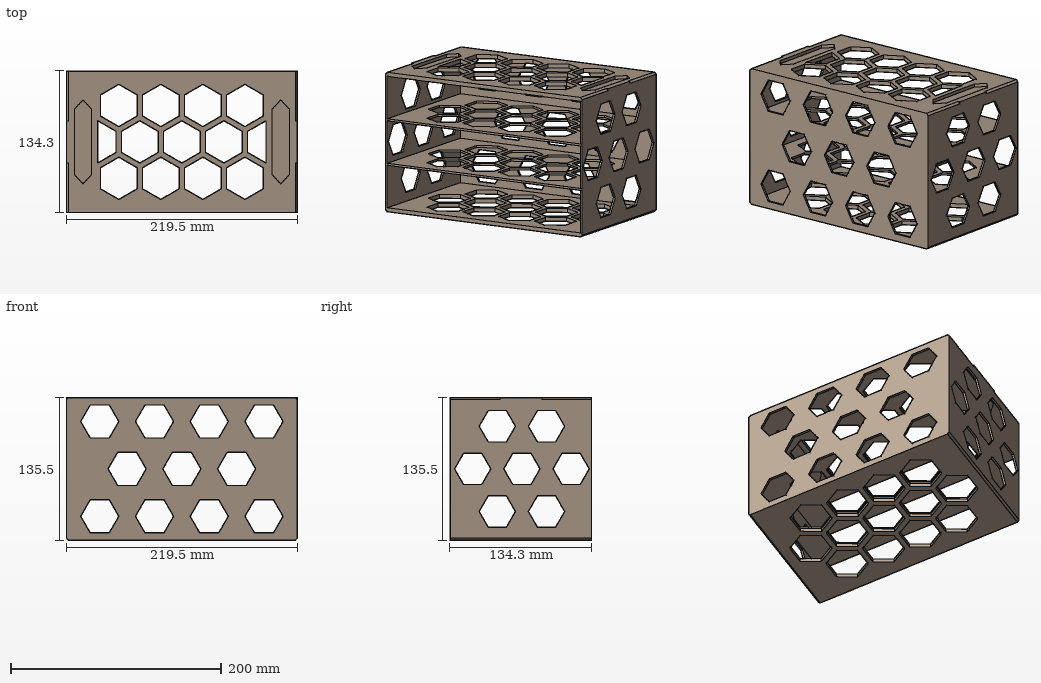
import cadquery as cq
import math

length = 219.5
width = 134.3
height = 135.5

front_wall = 2.0
end_wall = 2.0
lid_thickness = 4.0
floor_thickness = 4.0

storeys = 3
shelf_thickness = 2.0

bottom_chamfer = 2.0
top_chamfer = 2.0
tab_width = 40.0

front_hex_radius = 18.0
front_hex_pitch = 52.0
end_hex_radius = 17.1
end_hex_pitch = 46.7
end_hex_shift = front_wall / 2
comb_hex_radius = 20.0
comb_hex_pitch = 40.0

recess_offset = 94.0
recess_width = 16.2
recess_straight = 62.3
recess_length = 79.9
recess_depth = 3.0

ROW_RATIO = math.sqrt(3) / 2


def row_points(count, pitch, row):
    """Centres of one row of a triangular lattice, the row centred on zero."""
    start = -(count - 1) / 2 * pitch
    return [(start + i * pitch, row * pitch * ROW_RATIO) for i in range(count)]


def three_rows(outer_count, middle_count, pitch):
    """Centres of a middle row between two equal outer rows."""
    outer_rows = row_points(outer_count, pitch, -1) + row_points(outer_count, pitch, 1)
    return outer_rows + row_points(middle_count, pitch, 0)


def hex_prisms(plane, centres, radius, reach):
    """Hexagonal prisms, one corner along the plane's local X, reaching both ways from the plane."""
    sketch = cq.Workplane(plane).pushPoints(centres)
    return sketch.polygon(6, 2 * radius).extrude(reach, both=True)


def shell():
    """Hollow box, open at the +Y side, with its two bottom end edges chamfered."""
    box = cq.Workplane("XY").box(length, width, height, centered=(True, True, False))
    box = box.edges("|Y and <Z").chamfer(bottom_chamfer)
    cavity = cq.Workplane("XY", origin=(0, front_wall, floor_thickness)).box(
        length - 2 * end_wall,
        width,
        height - floor_thickness - lid_thickness,
        centered=(True, True, False),
    )
    return box.cut(cavity)


def shelves():
    """Flat plates across the whole box, merging with the walls and flush with the open side."""
    plates = cq.Workplane("XY")
    clear_total = height - floor_thickness - lid_thickness - (storeys - 1) * shelf_thickness
    storey_pitch = clear_total / storeys + shelf_thickness
    for level in range(1, storeys):
        shelf_base = floor_thickness + level * storey_pitch - shelf_thickness
        plate = cq.Workplane("XY", origin=(0, 0, shelf_base)).box(
            length, width, shelf_thickness, centered=(True, True, False)
        )
        plates = plates.add(plate)
    return plates.combine()


def top_edge_bevels():
    """Wedges along both top end edges, interrupted by the middle tab."""
    wedges = cq.Workplane("XY")
    run = (width - tab_width) / 2
    for side in (-1, 1):
        corner_x = side * length / 2
        for back_y in (width / 2, -tab_width / 2):
            wedge = (
                cq.Workplane("XZ", origin=(0, back_y, 0))
                .moveTo(corner_x, height)
                .lineTo(corner_x - side * top_chamfer, height)
                .lineTo(corner_x, height - top_chamfer)
                .close()
                .extrude(run)
            )
            wedges = wedges.add(wedge)
    return wedges.combine()


def front_holes():
    """Hexagons through the front wall; the reach also crosses the open back."""
    plane = cq.Plane(origin=(0, 0, height / 2), xDir=(1, 0, 0), normal=(0, -1, 0))
    return hex_prisms(plane, three_rows(4, 3, front_hex_pitch), front_hex_radius, width)


def end_holes():
    """Hexagons through both end walls."""
    plane = cq.Plane(origin=(0, end_hex_shift, height / 2), xDir=(0, 1, 0), normal=(1, 0, 0))
    return hex_prisms(plane, three_rows(2, 3, end_hex_pitch), end_hex_radius, length)


def honeycomb_holes():
    """Honeycomb through lid, shelves and floor; in the lid the outermost cells are cut in half."""
    plane = cq.Plane(origin=(0, 0, height / 2), xDir=(0, 1, 0), normal=(0, 0, 1))
    centres = [(y, -x) for x, y in three_rows(4, 5, comb_hex_pitch)]
    cells = hex_prisms(plane, centres, comb_hex_radius, height)
    outermost_x = 2 * comb_hex_pitch
    for side in (-1, 1):
        lid_end = cq.Workplane("XY", origin=(side * (outermost_x + length / 2), 0, height)).box(
            length, width, 2 * lid_thickness
        )
        cells = cells.cut(lid_end)
    return cells


def recesses():
    """Pointed finger recesses near the two ends of the lid."""
    half_width = recess_width / 2
    half_straight = recess_straight / 2
    half_length = recess_length / 2
    outline = [
        (half_width, -half_straight),
        (half_width, half_straight),
        (0, half_length),
        (-half_width, half_straight),
        (-half_width, -half_straight),
        (0, -half_length),
    ]
    lid_face = cq.Workplane("XY", origin=(recess_offset, 0, height))
    recess = lid_face.polyline(outline).close().extrude(-recess_depth)
    return recess.union(recess.mirror("YZ"))


result = (
    shell()
    .union(shelves())
    .cut(top_edge_bevels())
    .cut(front_holes())
    .cut(end_holes())
    .cut(honeycomb_holes())
    .cut(recesses())
)